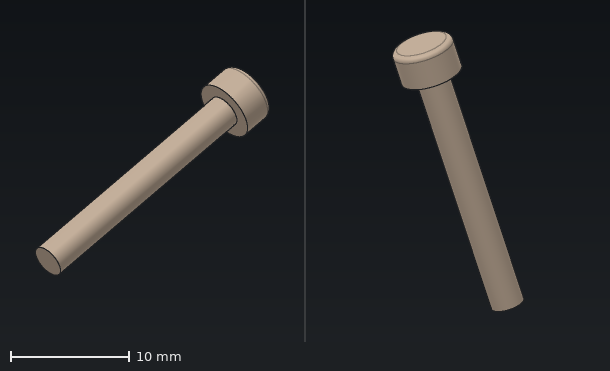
import cadquery as cq

total_length = 25.0
head_diameter = 5.4
head_length = 3.0
shank_diameter = 2.92
head_edge_radius = 0.5

shank_length = total_length - head_length


def make_head():
    """Cylindrical head with a rounded outer end edge."""
    head = (
        cq.Workplane("XZ", origin=(0, total_length / 2, 0))
        .circle(head_diameter / 2)
        .extrude(head_length)
    )
    return head.faces(">Y").edges().fillet(head_edge_radius)


def make_shank():
    """Plain round shank running from the head to the -Y end."""
    return (
        cq.Workplane("XZ", origin=(0, total_length / 2 - head_length, 0))
        .circle(shank_diameter / 2)
        .extrude(shank_length)
    )


result = make_head().union(make_shank())